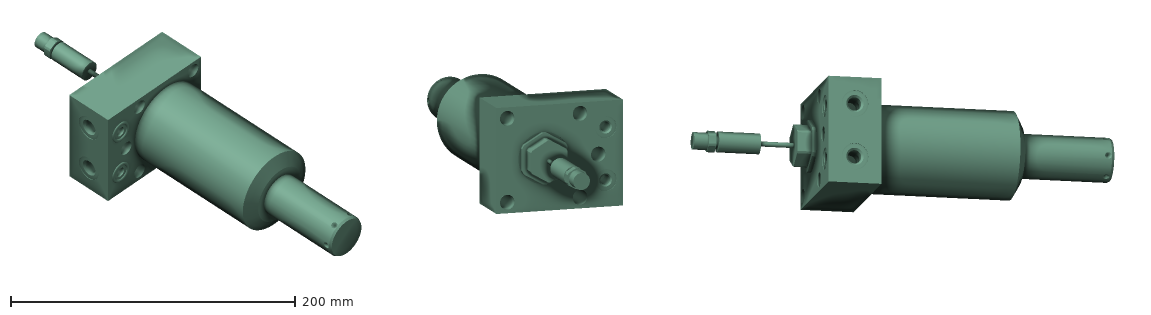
import cadquery as cq
import math


block_length = 38.1
block_height = 76.2
block_width = 93.68
block_back_y = 34.93
block_front_y = block_back_y - block_width

mount_hole_diameter = 10.7
mount_hole_y = 26.97
mount_hole_z = 30.16
extra_hole_y = -40.5

port_z = 19.05
spotface_depth = 0.5
side_port_x = block_length / 2
side_spotface_diameter = 19.0
side_port_mouth_diameter = 12.4
side_port_diameter = 9.6
side_port_depth = 20.0
end_port_y = -46.1
end_spotface_diameter = 15.7
end_port_mouth_diameter = 9.4
oil_way_diameter = 7.3

o_ring_outer_diameter = 16.9
o_ring_section = 2.6
o_ring_stand_out = 0.9

barrel_diameter = 63.2
barrel_end_x = 149.6
nose_length = 5.6
nose_drop = nose_length * math.tan(math.radians(60))

rod_diameter = 31.75
rod_end_x = 215.2
rod_chamfer_length = 1.8
rod_chamfer_drop = 0.9
dimple_count = 6
dimple_diameter = 4.8
dimple_x = rod_end_x - 4.4

flange_across_flats = 33.6
flange_corner_diameter = 37.2
flange_stand_out = 2.7
seat_diameter = 37.4
head_across_flats = 27.0
head_corner_diameter = 30.2
head_length = 10.0
cable_diameter = 3.6
cable_length = 24.7
sleeve_diameter = 14.7
sleeve_length = 30.2
neck_diameter = 9.0
neck_length = 2.0
lock_nut_across_flats = 14.0
lock_nut_corner_diameter = 15.2
lock_nut_length = 5.5
knob_diameter = 12.3
total_length = 300.51
knob_end_x = rod_end_x - total_length


def round_bar(diameter, x_start, x_end, y=0, z=0):
    """Round bar along X."""
    bar = cq.Workplane("YZ", origin=(x_start, y, z))
    return bar.circle(diameter / 2).extrude(x_end - x_start)


def hexagon_bar(across_flats, corner_diameter, x_start, x_end):
    """Hexagon bar along X with flats facing Y and its corners turned down to a diameter."""
    sharp_diameter = across_flats / math.cos(math.radians(30))
    bar = cq.Workplane("YZ", origin=(x_start, 0, 0)).transformed(rotate=(0, 0, 90))
    bar = bar.polygon(6, sharp_diameter).extrude(x_end - x_start)
    return bar.intersect(round_bar(corner_diameter, x_start, x_end))


def port_cutter(spotface_diameter, mouth_diameter, diameter, depth):
    """Spotfaced port with a 45-degree chamfer, running along +Z from z = 0."""
    chamfer = (mouth_diameter - diameter) / 2
    profile = [
        (0, 0),
        (spotface_diameter / 2, 0),
        (spotface_diameter / 2, spotface_depth),
        (mouth_diameter / 2, spotface_depth),
        (diameter / 2, spotface_depth + chamfer),
        (diameter / 2, depth),
        (0, depth),
    ]
    return cq.Workplane("XZ").polyline(profile).close().revolve(360, (0, 0), (0, 1))


def make_o_ring(z):
    """O-ring sunk into the far side of the block, standing slightly proud of it."""
    center_x = block_length + o_ring_stand_out - o_ring_section / 2
    center_radius = (o_ring_outer_diameter - o_ring_section) / 2
    ring = cq.Solid.makeTorus(
        center_radius, o_ring_section / 2, cq.Vector(center_x, end_port_y, z), cq.Vector(1, 0, 0)
    )
    return cq.Workplane(ring)


def make_housing():
    """Mounting block with its barrel, ports and bolt holes."""
    block = cq.Workplane("XY").box(block_length, block_width, block_height, centered=(False, False, True))
    block = block.translate((0, block_front_y, 0))

    barrel_radius = barrel_diameter / 2
    barrel_profile = [
        (block_length, 0),
        (block_length, barrel_radius),
        (barrel_end_x - nose_length, barrel_radius),
        (barrel_end_x, barrel_radius - nose_drop),
        (barrel_end_x, 0),
    ]
    barrel = cq.Workplane("XY").polyline(barrel_profile).close().revolve(360, (0, 0), (1, 0))
    housing = block.union(barrel)

    bolt_places = [(y, z) for y in (-mount_hole_y, mount_hole_y) for z in (-mount_hole_z, mount_hole_z)]
    bolt_places.append((extra_hole_y, 0))
    for y, z in bolt_places:
        housing = housing.cut(round_bar(mount_hole_diameter, 0, block_length, y, z))

    side_port = port_cutter(
        side_spotface_diameter, side_port_mouth_diameter, side_port_diameter, side_port_depth
    ).rotate((0, 0, 0), (1, 0, 0), -90)
    end_port = port_cutter(
        end_spotface_diameter, end_port_mouth_diameter, oil_way_diameter, block_length
    ).rotate((0, 0, 0), (0, 1, 0), 90)
    for z in (-port_z, port_z):
        housing = housing.cut(side_port.translate((side_port_x, block_front_y, z)))
        housing = housing.cut(end_port.translate((0, end_port_y, z)))
        housing = housing.cut(make_o_ring(z))

    return housing.cut(round_bar(seat_diameter, 0, spotface_depth))


def make_rod():
    """Rod with a chamfered end and a ring of radial 90-degree conical dimples."""
    rod_radius = rod_diameter / 2
    profile = [
        (barrel_end_x, 0),
        (barrel_end_x, rod_radius),
        (rod_end_x - rod_chamfer_length, rod_radius),
        (rod_end_x, rod_radius - rod_chamfer_drop),
        (rod_end_x, 0),
    ]
    rod = cq.Workplane("XY").polyline(profile).close().revolve(360, (0, 0), (1, 0))
    dimple_radius = dimple_diameter / 2
    dimple = cq.Workplane(
        cq.Solid.makeCone(
            dimple_radius, 0, dimple_radius, cq.Vector(dimple_x, -rod_radius, 0), cq.Vector(0, 1, 0)
        )
    )
    for index in range(dimple_count):
        angle = index * 360 / dimple_count
        rod = rod.cut(dimple.rotate((0, 0, 0), (1, 0, 0), angle))
    return rod


def make_sensor():
    """Position sensor: flange seated in the block, hexagon head, cable and connector."""
    head_x = -flange_stand_out - head_length
    sleeve_end_x = head_x - cable_length
    sleeve_start_x = sleeve_end_x - sleeve_length
    lock_nut_end_x = sleeve_start_x - neck_length
    lock_nut_start_x = lock_nut_end_x - lock_nut_length

    sensor = hexagon_bar(flange_across_flats, flange_corner_diameter, -flange_stand_out, spotface_depth)
    sensor = sensor.union(hexagon_bar(head_across_flats, head_corner_diameter, head_x, -flange_stand_out))
    sensor = sensor.union(round_bar(cable_diameter, sleeve_end_x, head_x))
    sensor = sensor.union(round_bar(sleeve_diameter, sleeve_start_x, sleeve_end_x))
    sensor = sensor.union(round_bar(neck_diameter, lock_nut_end_x, sleeve_start_x))
    sensor = sensor.union(
        hexagon_bar(lock_nut_across_flats, lock_nut_corner_diameter, lock_nut_start_x, lock_nut_end_x)
    )
    return sensor.union(round_bar(knob_diameter, knob_end_x, lock_nut_start_x))


housing = make_housing()
rod = make_rod()
sensor = make_sensor()
o_rings = [make_o_ring(z) for z in (-port_z, port_z)]

result = cq.Compound.makeCompound(
    [housing.val(), rod.val(), sensor.val(), *[ring.val() for ring in o_rings]]
)